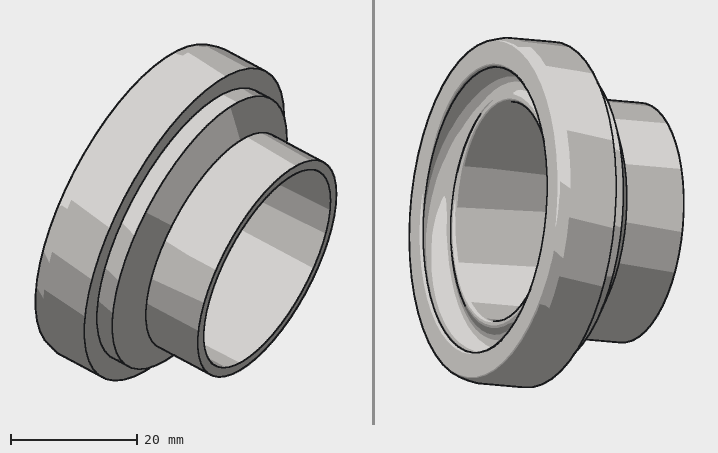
import cadquery as cq
import math

flange_radius = 27.45
collar_radius = 48.0 / 2
barrel_radius = 38.1 / 2
bore_radius = 34.8 / 2
groove_mouth_radius = 22.7

bevel_end = 2.0
flange_end = 10.0
collar_end = 12.95
cone_end = 16.0
total_length = 26.0
lip_face = 3.25

bevel_angle = math.radians(15)
corner_radius = 0.45

mouth_round = 0.5
bore_round = 0.5
lip_round = 1.1
lip_round_angle = math.radians(42)
lip_flat_outer_radius = 18.1


def point_on_circle(center_x, center_r, radius, angle):
    """Point on a circle, with the angle measured from +X toward the outside."""
    return (center_x + radius * math.cos(angle), center_r + radius * math.sin(angle))


corner_tangent_x = corner_radius * (1 - math.sin(bevel_angle))
corner_tangent_r = flange_radius - (bevel_end - corner_tangent_x) * math.tan(bevel_angle)
corner_center_r = corner_tangent_r - corner_radius * math.cos(bevel_angle)
corner_middle_angle = (math.radians(180) + math.radians(90) + bevel_angle) / 2
corner_middle = point_on_circle(corner_radius, corner_center_r, corner_radius, corner_middle_angle)

lip_center_x = lip_face + lip_round
lip_start_angle = math.pi - lip_round_angle
lip_tangent = point_on_circle(lip_center_x, lip_flat_outer_radius, lip_round, lip_start_angle)
lip_middle_angle = math.pi - lip_round_angle / 2
lip_middle = point_on_circle(lip_center_x, lip_flat_outer_radius, lip_round, lip_middle_angle)

inward_diagonal = math.radians(225)
mouth_center_r = groove_mouth_radius + mouth_round
mouth_middle = point_on_circle(mouth_round, mouth_center_r, mouth_round, inward_diagonal)

bore_center_x = lip_face + bore_round
bore_center_r = bore_radius + bore_round
bore_middle = point_on_circle(bore_center_x, bore_center_r, bore_round, inward_diagonal)

normal_x = math.cos(lip_round_angle)
normal_r = -math.sin(lip_round_angle)
chord_x = lip_tangent[0] - mouth_round
chord_r = lip_tangent[1] - groove_mouth_radius
groove_radius = (chord_x**2 + chord_r**2) / (2 * (chord_x * normal_x + chord_r * normal_r))
groove_center_x = lip_tangent[0] - groove_radius * normal_x
groove_center_r = lip_tangent[1] - groove_radius * normal_r
groove_bottom = (groove_center_x + groove_radius, groove_center_r)

profile = (
    cq.Workplane("XY")
    .moveTo(total_length, bore_radius)
    .lineTo(total_length, barrel_radius)
    .lineTo(cone_end, barrel_radius)
    .lineTo(collar_end, collar_radius)
    .lineTo(flange_end, collar_radius)
    .lineTo(flange_end, flange_radius)
    .lineTo(bevel_end, flange_radius)
    .lineTo(corner_tangent_x, corner_tangent_r)
    .threePointArc(corner_middle, (0, corner_center_r))
    .lineTo(0, mouth_center_r)
    .threePointArc(mouth_middle, (mouth_round, groove_mouth_radius))
    .threePointArc(groove_bottom, lip_tangent)
    .threePointArc(lip_middle, (lip_face, lip_flat_outer_radius))
    .lineTo(lip_face, bore_center_r)
    .threePointArc(bore_middle, (bore_center_x, bore_radius))
    .close()
)
result = profile.revolve(360, (0, 0, 0), (1, 0, 0))